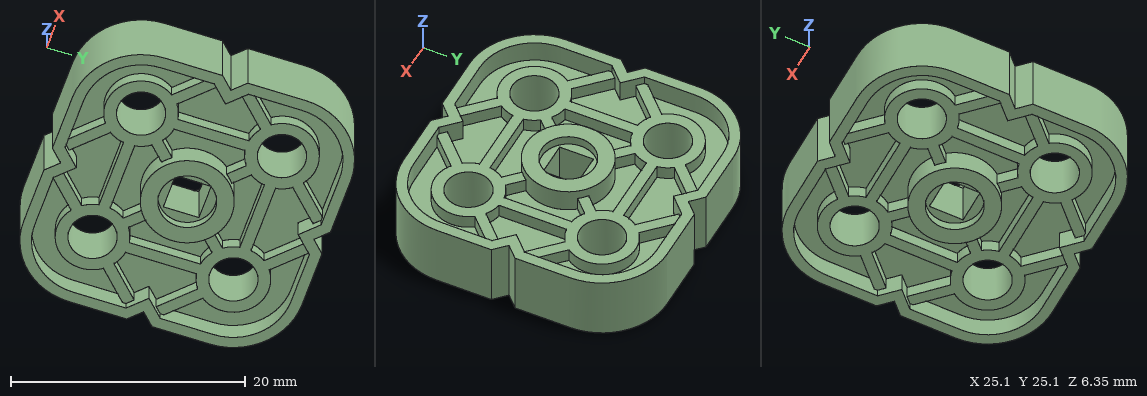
import cadquery as cq
import math

SIDE = 25.1
TOTAL_HEIGHT = 6.35
RIM_HEIGHT = 6.15
WALL = 1.0

HOLE_OFFSET = 6.35
CORNER_RADIUS = SIDE / 2 - HOLE_OFFSET
HOLE_DIAMETER = 4.2
BOSS_DIAMETER = 6.38

NOTCH_DEPTH = 1.13

FLOOR_DEPTH = 2.1
RIB_DROP = 0.8
RIB_WIDTH = 1.0

HUB_DIAMETER = 8.0
HUB_RECESS_DIAMETER = 5.02
HUB_RECESS_DEPTH = 0.9
SQUARE_HOLE = 3.21

FLOOR_THICKNESS = RIM_HEIGHT - 2 * FLOOR_DEPTH
BOSS_DIAGONAL = 2 * HOLE_OFFSET * math.sqrt(2)
RIB_HEIGHT = RIM_HEIGHT - 2 * RIB_DROP
QUARTER_TURNS = (0, 90, 180, 270)
HOLE_CENTERS = [(x, y) for x in (-HOLE_OFFSET, HOLE_OFFSET) for y in (-HOLE_OFFSET, HOLE_OFFSET)]


def centered_box(length, width, height):
    return cq.Workplane("XY").box(length, width, height)


def cylinders(centers, diameter, height):
    base = cq.Workplane("XY", origin=(0, 0, -height / 2))
    return base.pushPoints(centers).circle(diameter / 2).extrude(height)


def notched_plate(inset, height):
    """Rounded square with notched sides, its outline moved inwards by inset."""
    side = SIDE - 2 * inset
    plate = centered_box(side, side, height).edges("|Z").fillet(CORNER_RADIUS - inset)
    apex = SIDE / 2 - NOTCH_DEPTH - inset * math.sqrt(2)
    notch = (
        cq.Workplane("XY", origin=(0, 0, -height / 2))
        .polyline([(apex, 0), (SIDE, SIDE - apex), (SIDE, apex - SIDE)])
        .close()
        .extrude(height)
    )
    for angle in QUARTER_TURNS:
        plate = plate.cut(notch.rotate((0, 0, 0), (0, 0, 1), angle))
    return plate


def ribs():
    """Square of ribs joining the bosses, two diagonal ribs, and ribs running on to the notches."""
    diagonal = centered_box(BOSS_DIAGONAL, RIB_WIDTH, RIB_HEIGHT).rotate((0, 0, 0), (0, 0, 1), 45)
    crossing = diagonal.rotate((0, 0, 0), (0, 0, 1), 90)
    straight = centered_box(2 * HOLE_OFFSET, RIB_WIDTH, RIB_HEIGHT).translate((0, HOLE_OFFSET, 0))
    body = diagonal.union(crossing)
    for angle in QUARTER_TURNS:
        body = body.union(straight.rotate((0, 0, 0), (0, 0, 1), angle))
    for x, y in HOLE_CENTERS:
        notch_rib = crossing if x * y > 0 else diagonal
        body = body.union(notch_rib.translate((x, y, 0)))
    return body


outer = notched_plate(0, RIM_HEIGHT)
rim = outer.cut(notched_plate(WALL, RIM_HEIGHT))
floor = notched_plate(0, FLOOR_THICKNESS)
bosses = cylinders(HOLE_CENTERS, BOSS_DIAMETER, RIB_HEIGHT)
inner_ribs = ribs().intersect(notched_plate(WALL / 2, RIM_HEIGHT))
hub = cylinders([(0, 0)], HUB_DIAMETER, TOTAL_HEIGHT)

result = rim.union(floor).union(bosses).union(inner_ribs).union(hub)

result = result.cut(cylinders(HOLE_CENTERS, HOLE_DIAMETER, TOTAL_HEIGHT))
result = result.cut(centered_box(SQUARE_HOLE, SQUARE_HOLE, TOTAL_HEIGHT))

recess = cylinders([(0, 0)], HUB_RECESS_DIAMETER, TOTAL_HEIGHT)
recess = recess.cut(centered_box(SIDE, SIDE, TOTAL_HEIGHT - 2 * HUB_RECESS_DEPTH))
result = result.cut(recess)